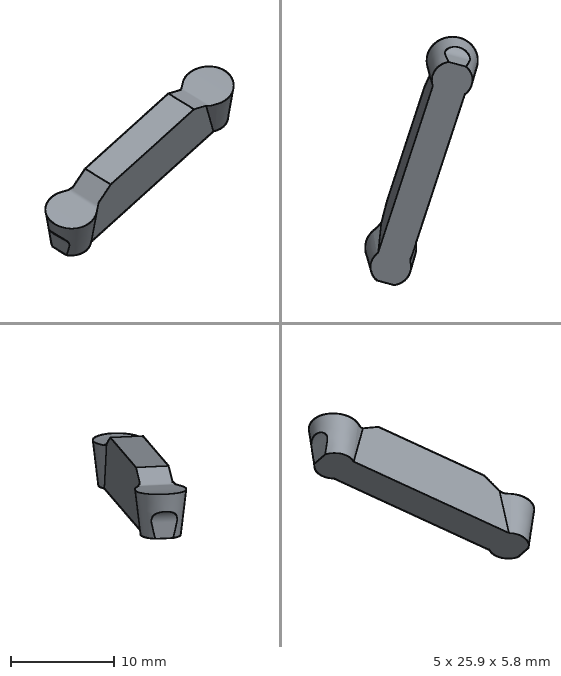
import cadquery as cq
import math

length = 25.88
height = 5.8
body_width = 3.24

head_diameter = 5.0
head_radius = head_diameter / 2
base_radius = 1.97
seat_height = 4.5
tip_height = 4.6
tip_radius = base_radius + (head_radius - base_radius) * tip_height / seat_height
head_center = length / 2 - tip_radius
radius_at_top = base_radius + (head_radius - base_radius) * height / seat_height

neck_angle = math.radians(30)
ramp_angle = math.radians(30)
ramp_top = 6.35
ramp_foot = ramp_top + (height - seat_height) / math.tan(ramp_angle)
ramp_fillet = 0.62

relief_face = 12.2
relief_straight = 1.63
relief_radius = 1.55
relief_sweep = math.radians(60)


def neck_section(radius):
    """Triangle whose two sloping sides are tangent to a head circle."""
    half_width = radius * math.cos(neck_angle)
    contact = head_center - radius * math.sin(neck_angle)
    apex = head_center - radius / math.sin(neck_angle)
    return [(-half_width, contact), (half_width, contact), (0, apex)]


def make_head():
    """Tapered head at the +Y end, with flat sides narrowing into the body."""
    cone = (
        cq.Workplane("XY").center(0, head_center).circle(base_radius)
        .workplane(offset=height).circle(radius_at_top).loft()
    )
    neck = (
        cq.Workplane("XY").polyline(neck_section(base_radius)).close()
        .workplane(offset=height).polyline(neck_section(radius_at_top)).close()
        .loft(ruled=True)
    )
    return cone.union(neck)


def make_side_envelope():
    """Side profile of the +Y half: raised body, ramp, seat, rising tip and relief."""
    blend = ramp_fillet * math.tan(ramp_angle / 2)
    blend_start = (ramp_foot - blend * math.cos(ramp_angle),
                   seat_height + blend * math.sin(ramp_angle))
    ramp_direction = (math.cos(ramp_angle), -math.sin(ramp_angle))
    relief_end = (
        relief_face + relief_radius * (1 - math.cos(relief_sweep)),
        relief_straight + relief_radius * math.sin(relief_sweep),
    )
    return (
        cq.Workplane("YZ").moveTo(0, 0).lineTo(0, height).lineTo(ramp_top, height)
        .lineTo(*blend_start)
        .tangentArcPoint((ramp_foot + blend, seat_height), relative=False)
        .lineTo(head_center, seat_height)
        .tangentArcPoint((length / 2, tip_height), relative=False)
        .lineTo(length / 2, relief_end[1])
        .lineTo(*relief_end)
        .radiusArc((relief_face, relief_straight), -relief_radius)
        .lineTo(relief_face, 0).close()
        .extrude(radius_at_top, both=True)
    )


half_body = cq.Workplane("XY").box(body_width, head_center, height, centered=(True, False, False))
half_part = half_body.union(make_head()).intersect(make_side_envelope())
result = half_part.union(half_part.mirror("XZ"))